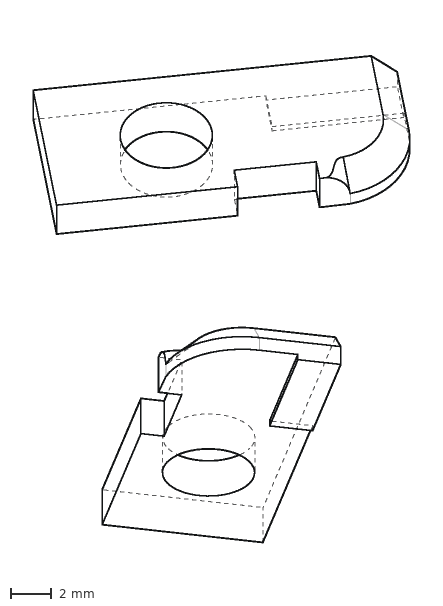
import cadquery as cq
import math

turn_angle = 45
overall_y = 18.38
width = 8.03
length = overall_y * math.sqrt(2) - width
total_height = 2.3
pad_height = 0.3
plate_thickness = total_height - pad_height

hole_diameter = 4.5
hole_x = 6.0

notch_start = 8.93
notch_end = 12.98
notch_depth = 1.15

pad_start = 11.47
pad_width = 2.15

nose_radius = 3.95
nose_sweep = 83
chamfer = 1.29
nose_x = length - nose_radius
nose_y = nose_radius

runout_tip_gap = 0.37
flank_bulge = 0.67
runout_inner_bend = (14.05, 1.2)
runout_outer_bend = (13.65, 0.35)
joining_tolerance = 0.0001


def nose_point(radius, degrees):
    """Point at a radius from the nose centre, turned clockwise from +X."""
    angle = math.radians(degrees)
    return nose_x + radius * math.cos(angle), nose_y - radius * math.sin(angle)


nose_end = nose_point(nose_radius, nose_sweep)


def make_plate():
    return (
        cq.Workplane("XY")
        .workplane(offset=-plate_thickness)
        .moveTo(0, 0)
        .lineTo(notch_start, 0)
        .lineTo(notch_start, notch_depth)
        .lineTo(notch_end, notch_depth)
        .lineTo(notch_end, 0)
        .lineTo(*nose_end)
        .threePointArc(nose_point(nose_radius, nose_sweep / 2), (length, nose_y))
        .lineTo(length, width)
        .lineTo(0, width)
        .close()
        .extrude(plate_thickness)
    )


def make_hole():
    return (
        cq.Workplane("XY")
        .center(hole_x, width / 2)
        .circle(hole_diameter / 2)
        .extrude(-plate_thickness)
    )


def make_pad():
    """Low strip under the plate, flush with its long side and its end."""
    return (
        cq.Workplane("XY")
        .workplane(offset=-total_height)
        .moveTo(pad_start, width - pad_width)
        .lineTo(length, width - pad_width)
        .lineTo(length, width)
        .lineTo(pad_start, width)
        .close()
        .extrude(pad_height)
    )


def chamfer_section():
    """Triangle removed from the top edge, drawn beside the nose axis."""
    return (
        cq.Workplane("XZ", origin=(nose_x, nose_y, 0))
        .moveTo(nose_radius - chamfer, 0)
        .lineTo(nose_radius, -chamfer)
        .lineTo(nose_radius, 0)
        .close()
    )


def make_straight_chamfer():
    return chamfer_section().extrude(-(width - nose_y))


def make_nose_chamfer():
    return chamfer_section().revolve(nose_sweep, (0, 0, 0), (0, -1, 0))


def make_runout():
    """Wedge that fades the nose chamfer out into the top face along the flank."""
    low = cq.Vector(*nose_end, -chamfer)
    corner = cq.Vector(*nose_end, 0)
    inner = cq.Vector(*nose_point(nose_radius - chamfer, nose_sweep), 0)
    tip = cq.Vector(notch_end, 0, 0)
    outer = tip + (corner - tip).normalized() * runout_tip_gap

    flank_drop = cq.Vector(0, 0, -chamfer * (1 - flank_bulge))
    flank_middle = outer + (corner - outer) * flank_bulge + flank_drop
    flank_edge = cq.Edge.makeThreePointArc(outer, flank_middle, low)
    top_edge = cq.Edge.makeSpline(
        [inner, cq.Vector(*runout_inner_bend), cq.Vector(*runout_outer_bend), outer]
    )
    joint_edge = cq.Edge.makeLine(low, inner)
    upright_edge = cq.Edge.makeLine(low, corner)
    corner_to_inner = cq.Edge.makeLine(corner, inner)
    outer_to_corner = cq.Edge.makeLine(outer, corner)

    def flat_face(*edges):
        return cq.Face.makeFromWires(cq.Wire.assembleEdges(edges))

    faces = [
        cq.Face.makeNSidedSurface([joint_edge, top_edge, flank_edge], []),
        flat_face(corner_to_inner, top_edge, outer_to_corner),
        flat_face(upright_edge, corner_to_inner, joint_edge),
        flat_face(flank_edge, upright_edge, outer_to_corner),
    ]
    wedge = cq.Solid.makeSolid(cq.Shell.makeShell(faces))
    return cq.Workplane(wedge)


result = (
    make_plate()
    .union(make_pad())
    .cut(make_hole())
    .cut(make_straight_chamfer())
    .cut(make_nose_chamfer())
    .cut(make_runout(), tol=joining_tolerance)
    .rotate((0, 0, 0), (0, 0, 1), turn_angle)
)